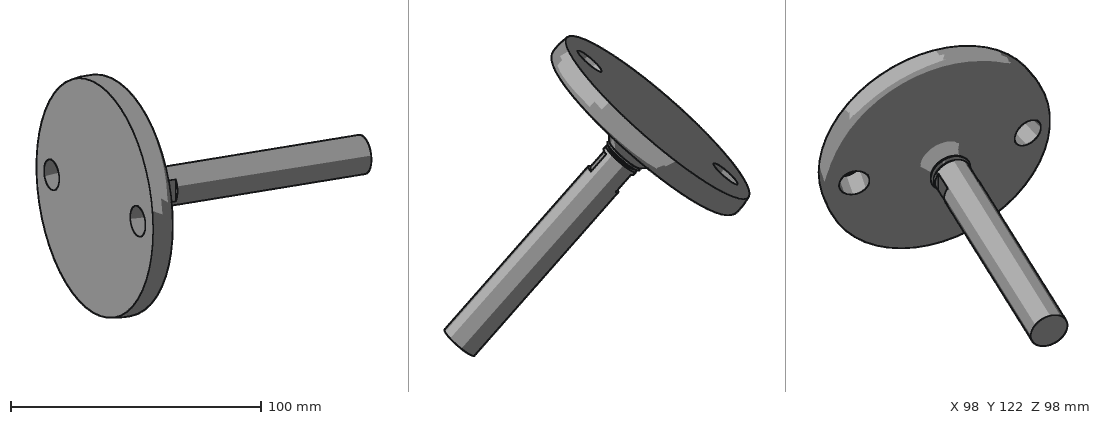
import cadquery as cq
import math

FOOT_RADIUS = 98.0 / 2
BASE_RADIUS = 48.4
RIM_BOTTOM = 4.1
RIM_TOP = 7.1
RIM_ROUND = 2.8
CONE_ANGLE = math.radians(9.8)
COLLAR_RADIUS = 8.3
COLLAR_TOP = 20.1
COLLAR_BLEND = 3.9

LIP_ROOT_RADIUS = 7.9
LIP_RADIUS = 8.7
LIP_HEIGHT = 21.0
FOOT_TOP_RADIUS = 7.1
FOOT_TOP = 21.8

HOLE_DIAMETER = 12.5
HOLE_OFFSET = 35.7
HOLE_OVERRUN = 12.2
HOLE_TOOL_LENGTH = 48.8

STEM_DIAMETER = 16.0
STEM_BOTTOM = 22.5
STEM_TOP = 122.0
NECK_RADIUS = 5.5
SOCKET_FLOOR = 12.2
FLAT_WIDTH = 13.0
FLAT_BOTTOM = 24.0
FLAT_LENGTH = 9.4


def cylinder_y(radius, bottom, top):
    """Cylinder on the Y axis between two heights."""
    return cq.Workplane("XZ", origin=(0, bottom, 0)).circle(radius).extrude(bottom - top)


def foot_profile():
    """Half section of the foot, including the collar and its lip."""
    round_center = FOOT_RADIUS - RIM_ROUND

    def on_rim_round(angle):
        return (
            round_center + RIM_ROUND * math.cos(angle),
            RIM_TOP + RIM_ROUND * math.sin(angle),
        )

    cone_direction = math.pi / 2 - CONE_ANGLE
    cone_start = on_rim_round(cone_direction)

    slope = math.tan(CONE_ANGLE)
    collar_sum = COLLAR_RADIUS + COLLAR_TOP
    corner_radius = (collar_sum - cone_start[1] - slope * cone_start[0]) / (1 - slope)
    corner_height = collar_sum - corner_radius

    half_turn = (math.pi / 4 - CONE_ANGLE) / 2
    tangent_length = COLLAR_BLEND * math.tan(half_turn)
    bisector = math.pi / 4 + half_turn
    sagitta = COLLAR_BLEND * (1 / math.cos(half_turn) - 1)
    cone_end = (
        corner_radius + tangent_length * math.cos(CONE_ANGLE),
        corner_height - tangent_length * math.sin(CONE_ANGLE),
    )
    blend_middle = (
        corner_radius + sagitta * math.cos(bisector),
        corner_height + sagitta * math.sin(bisector),
    )
    collar_start = (
        corner_radius - tangent_length * math.cos(math.pi / 4),
        corner_height + tangent_length * math.sin(math.pi / 4),
    )

    return (
        cq.Workplane("XY")
        .lineTo(BASE_RADIUS, 0)
        .lineTo(FOOT_RADIUS, RIM_BOTTOM)
        .lineTo(FOOT_RADIUS, RIM_TOP)
        .threePointArc(on_rim_round(cone_direction / 2), cone_start)
        .lineTo(*cone_end)
        .threePointArc(blend_middle, collar_start)
        .lineTo(COLLAR_RADIUS, COLLAR_TOP)
        .lineTo(LIP_ROOT_RADIUS, COLLAR_TOP)
        .lineTo(LIP_RADIUS, LIP_HEIGHT)
        .lineTo(FOOT_TOP_RADIUS, FOOT_TOP)
        .lineTo(0, FOOT_TOP)
        .close()
    )


def mounting_hole(side):
    """Hole tool that leans outward as it rises."""
    direction = cq.Vector(side * math.sin(CONE_ANGLE), math.cos(CONE_ANGLE), 0)
    start = cq.Vector(side * HOLE_OFFSET, 0, 0) - direction * HOLE_OVERRUN
    return cq.Solid.makeCylinder(HOLE_DIAMETER / 2, HOLE_TOOL_LENGTH, start, direction)


def make_foot():
    foot = foot_profile().revolve(360, (0, 0, 0), (0, 1, 0))
    foot = foot.cut(cylinder_y(NECK_RADIUS, SOCKET_FLOOR, FOOT_TOP))
    for side in (-1, 1):
        foot = foot.cut(cq.Workplane(mounting_hole(side)))
    return foot


def make_stem():
    stem = cylinder_y(STEM_DIAMETER / 2, STEM_BOTTOM, STEM_TOP)
    stem = stem.union(cylinder_y(NECK_RADIUS, SOCKET_FLOOR, STEM_BOTTOM))
    for side in (-1, 1):
        flat_cutter = cq.Workplane("XY").box(STEM_DIAMETER, FLAT_LENGTH, STEM_DIAMETER)
        flat_cutter = flat_cutter.translate(
            (side * (FLAT_WIDTH + STEM_DIAMETER) / 2, FLAT_BOTTOM + FLAT_LENGTH / 2, 0)
        )
        stem = stem.cut(flat_cutter)
    return stem


foot = make_foot()
stem = make_stem()
result = cq.Compound.makeCompound([foot.solids().val(), stem.solids().val()])